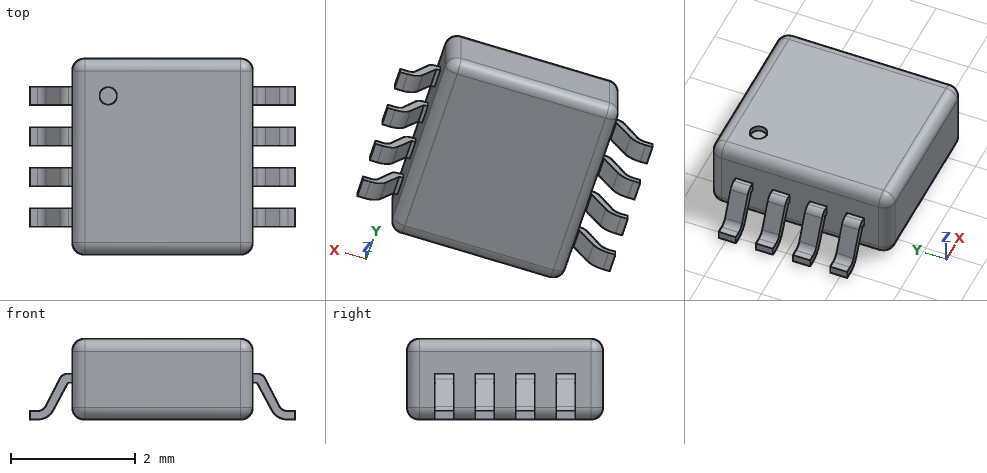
import cadquery as cq
import math

BODY_LENGTH = 2.9
BODY_WIDTH = 3.15
BODY_HEIGHT = 1.3
BODY_FILLET = 0.2

LEAD_SPAN = 4.25
LEAD_COUNT = 4
LEAD_PITCH = 0.65
LEAD_WIDTH = 0.3
LEAD_THICKNESS = 0.15
FOOT_THICKNESS = 0.14
LEAD_TOP = 0.74
FOOT_FLAT = 0.12
SHOULDER_LENGTH = 0.065
LEAD_EMBED = 0.1
FOOT_INNER_RADIUS = 0.15
LEAD_ANGLE = math.radians(62)

MARK_DIAMETER = 0.28
MARK_DEPTH = 0.1
MARK_X = -0.87


def lead_y(index):
    """Y position of the centre of a lead, counted from the -Y end."""
    return (index - (LEAD_COUNT - 1) / 2) * LEAD_PITCH


def arc_point(center, radius, angle):
    """Point on a circle in the XZ plane, angle measured counter-clockwise from +X."""
    return (center[0] + radius * math.cos(angle), center[1] + radius * math.sin(angle))


def make_body():
    body = cq.Workplane("XY").box(BODY_LENGTH, BODY_WIDTH, BODY_HEIGHT, centered=(True, True, False))
    return body.edges().fillet(BODY_FILLET)


def make_lead():
    """Lead on the -X side, centred on Y = 0."""
    toe_x = -LEAD_SPAN / 2
    body_x = -BODY_LENGTH / 2
    root_x = body_x + LEAD_EMBED
    heel_x = toe_x + FOOT_FLAT
    shoulder_x = body_x - SHOULDER_LENGTH
    shoulder_under = LEAD_TOP - LEAD_THICKNESS

    shoulder_center = (shoulder_x, shoulder_under)
    foot_center = (heel_x, FOOT_THICKNESS + FOOT_INNER_RADIUS)
    foot_outer_radius = FOOT_INNER_RADIUS + FOOT_THICKNESS

    down = -math.pi / 2
    up = math.pi / 2
    foot_end = down + LEAD_ANGLE
    foot_middle = down + LEAD_ANGLE / 2
    shoulder_end = up + LEAD_ANGLE
    shoulder_middle = up + LEAD_ANGLE / 2

    profile = (
        cq.Workplane("XZ")
        .moveTo(toe_x, 0)
        .lineTo(heel_x, 0)
        .threePointArc(
            arc_point(foot_center, foot_outer_radius, foot_middle),
            arc_point(foot_center, foot_outer_radius, foot_end),
        )
        .lineTo(*shoulder_center)
        .lineTo(root_x, shoulder_under)
        .lineTo(root_x, LEAD_TOP)
        .lineTo(shoulder_x, LEAD_TOP)
        .threePointArc(
            arc_point(shoulder_center, LEAD_THICKNESS, shoulder_middle),
            arc_point(shoulder_center, LEAD_THICKNESS, shoulder_end),
        )
        .lineTo(*arc_point(foot_center, FOOT_INNER_RADIUS, foot_end))
        .threePointArc(
            arc_point(foot_center, FOOT_INNER_RADIUS, foot_middle),
            (heel_x, FOOT_THICKNESS),
        )
        .lineTo(toe_x, FOOT_THICKNESS)
        .close()
    )
    return profile.extrude(LEAD_WIDTH / 2, both=True)


def make_pin_one_mark():
    """Round recess in the top face, in line with the last lead on the -X side."""
    return (
        cq.Workplane("XY", origin=(MARK_X, lead_y(LEAD_COUNT - 1), BODY_HEIGHT - MARK_DEPTH))
        .circle(MARK_DIAMETER / 2)
        .extrude(MARK_DEPTH)
    )


result = make_body().cut(make_pin_one_mark())
left_lead = make_lead()
right_lead = left_lead.mirror("YZ")
for index in range(LEAD_COUNT):
    for lead in (left_lead, right_lead):
        result = result.union(lead.translate((0, lead_y(index), 0)))